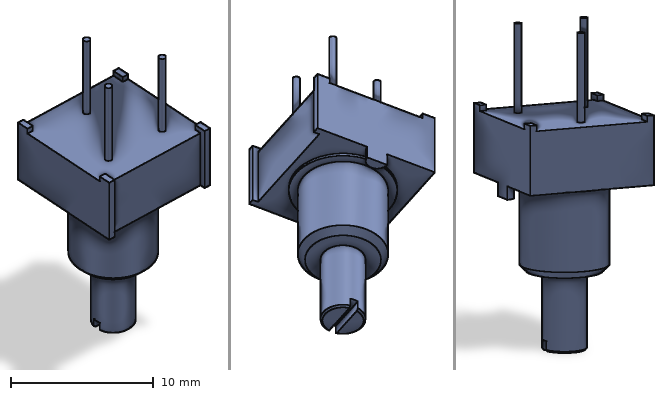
import cadquery as cq


total_height = 23.1

body_size = 9.55
body_offset_x = 0.08
deck_height = 4.57
side_wall = 0.5
recess_depth = 0.45

tab_length = 1.0
tab_height = 0.42

pin_diameter = 0.53
pin_height = 6.38
pin_spacing = 2.55
pin_offset_x = -0.23

flange_diameter = 7.62
flange_depth = 0.2
bushing_diameter = 6.35
bushing_depth = 6.55
bushing_chamfer = 0.5
shaft_diameter = 3.16
shaft_depth = total_height - deck_height - pin_height
shaft_chamfer = 0.15

slot_width = 0.6
slot_depth = 0.76

lug_radius = 0.8
lug_depth = 0.97

body_max_x = body_offset_x + body_size / 2


def make_body():
    block = (
        cq.Workplane("XY")
        .center(body_offset_x, 0)
        .rect(body_size, body_size)
        .extrude(deck_height)
    )
    recess = (
        cq.Workplane("XY")
        .center(body_max_x - recess_depth / 2, 0)
        .rect(recess_depth, body_size - 2 * side_wall)
        .extrude(deck_height)
    )
    return block.cut(recess)


def make_tabs():
    tab_spacing_x = body_size - tab_length
    tab_spacing_y = body_size - side_wall
    return (
        cq.Workplane("XY")
        .workplane(offset=deck_height)
        .center(body_offset_x, 0)
        .rect(tab_spacing_x, tab_spacing_y, forConstruction=True)
        .vertices()
        .rect(tab_length, side_wall)
        .extrude(tab_height)
    )


def make_pins():
    pin_places = [
        (pin_offset_x - pin_spacing, 0),
        (pin_offset_x + pin_spacing, -pin_spacing),
        (pin_offset_x + pin_spacing, pin_spacing),
    ]
    return (
        cq.Workplane("XY")
        .workplane(offset=deck_height)
        .pushPoints(pin_places)
        .circle(pin_diameter / 2)
        .extrude(pin_height)
    )


def downward_cylinder(diameter, depth):
    return cq.Workplane("XY").circle(diameter / 2).extrude(-depth)


def make_shaft():
    shaft = downward_cylinder(shaft_diameter, shaft_depth)
    shaft = shaft.faces("<Z").chamfer(shaft_chamfer)
    slot = (
        cq.Workplane("XY")
        .workplane(offset=-shaft_depth)
        .rect(slot_width, shaft_diameter)
        .extrude(slot_depth)
    )
    return shaft.cut(slot)


def make_lug():
    return (
        cq.Workplane("XY")
        .moveTo(-lug_radius, body_size / 2)
        .threePointArc((0, body_size / 2 - lug_radius), (lug_radius, body_size / 2))
        .close()
        .extrude(-lug_depth)
    )


flange = downward_cylinder(flange_diameter, flange_depth)
bushing = downward_cylinder(bushing_diameter, bushing_depth).faces("<Z").chamfer(bushing_chamfer)

result = make_body()
for feature in (make_tabs(), make_pins(), flange, bushing, make_shaft(), make_lug()):
    result = result.union(feature)